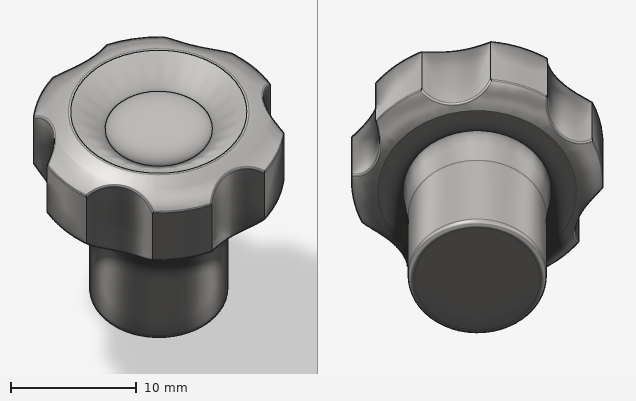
import cadquery as cq
import math

total_height = 20.0
head_radius = 10.0
head_bottom = 12.0

stem_radius = 5.5
stem_edge_fillet = 0.5
neck_bottom = 8.55
neck_top_radius = 5.92

top_face_radius = 7.18
top_shoulder_height = 1.45
bottom_face_radius = 7.88
bottom_shoulder_height = 1.32
shoulder_bulge = 0.2

dish_rim_radius = 7.0
dish_floor_radius = 4.25
dish_depth = 1.88

flute_count = 6
flute_radius = 4.15
flute_floor_distance = 8.55
head_edge_fillet = 0.2


def shoulder_midpoint(start, end):
    """Crest of the shoulder arc, bulging to the right of the path from start to end."""
    width = end[0] - start[0]
    rise = end[1] - start[1]
    chord = math.hypot(width, rise)
    return (
        (start[0] + end[0]) / 2 + shoulder_bulge * rise / chord,
        (start[1] + end[1]) / 2 - shoulder_bulge * width / chord,
    )


def make_head():
    bottom_start = (bottom_face_radius, head_bottom)
    bottom_end = (head_radius, head_bottom + bottom_shoulder_height)
    top_start = (head_radius, total_height - top_shoulder_height)
    top_end = (top_face_radius, total_height)
    head = (
        cq.Workplane("XZ")
        .moveTo(0, head_bottom)
        .lineTo(*bottom_start)
        .threePointArc(shoulder_midpoint(bottom_start, bottom_end), bottom_end)
        .lineTo(*top_start)
        .threePointArc(shoulder_midpoint(top_start, top_end), top_end)
        .lineTo(0, total_height)
        .close()
        .revolve(360, (0, 0, 0), (0, 1, 0))
    )
    flutes = (
        cq.Workplane("XY", origin=(0, 0, head_bottom))
        .polarArray(flute_floor_distance + flute_radius, 0, 360, flute_count)
        .circle(flute_radius)
        .extrude(total_height - head_bottom)
    )
    head = head.cut(flutes)
    wall_edges = head.faces("%CYLINDER").edges("not |Z")
    return wall_edges.fillet(head_edge_fillet)


def make_dish():
    return (
        cq.Workplane("XZ")
        .moveTo(0, total_height)
        .lineTo(dish_rim_radius, total_height)
        .lineTo(dish_floor_radius, total_height - dish_depth)
        .lineTo(0, total_height - dish_depth)
        .close()
        .revolve(360, (0, 0, 0), (0, 1, 0))
    )


def make_stem():
    stem = (
        cq.Workplane("XZ")
        .lineTo(stem_radius, 0)
        .lineTo(stem_radius, neck_bottom)
        .lineTo(neck_top_radius, head_bottom)
        .lineTo(0, head_bottom)
        .close()
        .revolve(360, (0, 0, 0), (0, 1, 0))
    )
    return stem.faces("<Z").edges().fillet(stem_edge_fillet)


result = make_head().cut(make_dish()).union(make_stem())